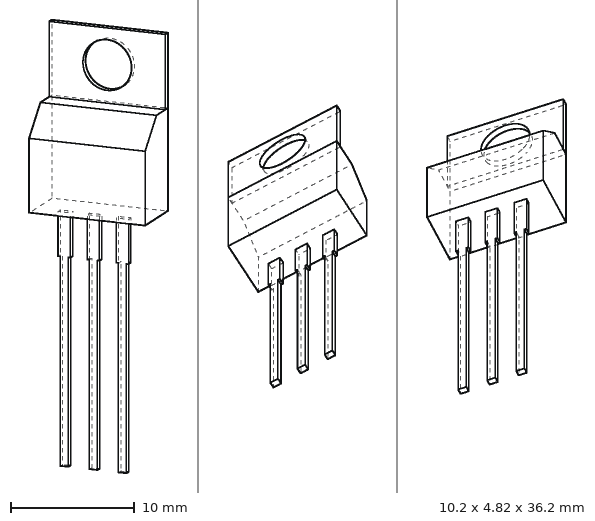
import cadquery as cq

width = 10.15
depth = 4.82
total_height = 36.25

tab_height = 6.3
tab_thickness = 0.58
hole_diameter = 4.25
hole_drop = 3.12

housing_height = 8.63
chamfer = 2.4

lead_count = 3
lead_pitch = 2.55
lead_thickness = 0.5
lead_setback = 3.25
shoulder_width = 1.1
shoulder_length = 3.77
lead_width = 0.73

housing_top = total_height - tab_height
housing_bottom = housing_top - housing_height


def make_housing():
    """Block with a sloped upper front edge, extruded across the width."""
    profile = [
        (0, housing_bottom),
        (0, housing_top),
        (chamfer - depth, housing_top),
        (-depth, housing_top - chamfer),
        (-depth, housing_bottom),
    ]
    return cq.Workplane("YZ").polyline(profile).close().extrude(width / 2, both=True)


def make_tab():
    """Flat plate standing on the housing, flush with its back, with a screw hole."""
    plate = (
        cq.Workplane("XY", origin=(0, -tab_thickness / 2, housing_top))
        .box(width, tab_thickness, tab_height, centered=(True, True, False))
    )
    hole = (
        cq.Workplane("XZ", origin=(0, 0, total_height - hole_drop))
        .circle(hole_diameter / 2)
        .extrude(tab_thickness)
    )
    return plate.cut(hole)


def make_lead(x):
    """Flat lead with a wider shoulder just below the housing."""
    centered = (True, True, False)
    pin = (
        cq.Workplane("XY", origin=(x, -lead_setback, 0))
        .box(lead_width, lead_thickness, housing_bottom, centered=centered)
    )
    shoulder = (
        cq.Workplane("XY", origin=(x, -lead_setback, housing_bottom - shoulder_length))
        .box(shoulder_width, lead_thickness, shoulder_length, centered=centered)
    )
    return pin.union(shoulder)


housing = make_housing()
tab = make_tab()
leads = []
for index in range(lead_count):
    lead_x = (index - (lead_count - 1) / 2) * lead_pitch
    leads.append(make_lead(lead_x).val())

result = cq.Compound.makeCompound([housing.val(), tab.val(), *leads])